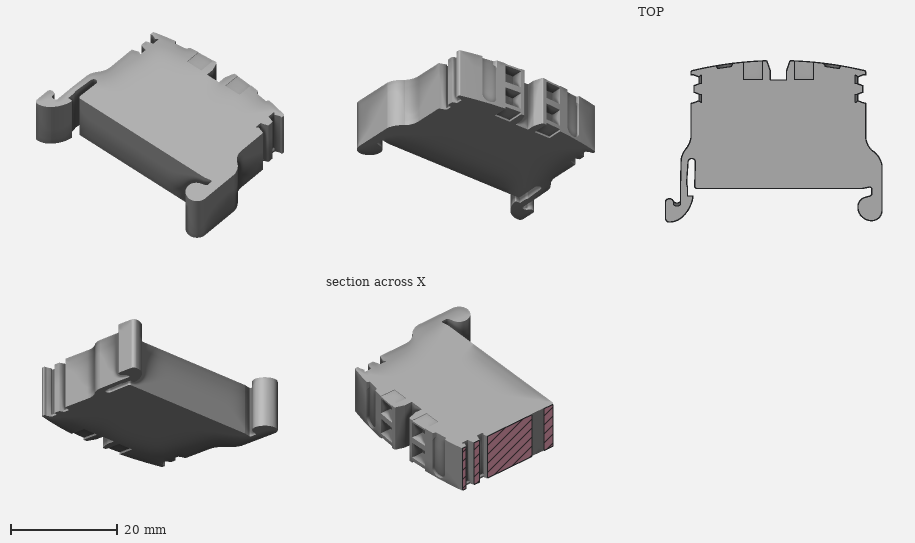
import cadquery as cq
import math


thickness = 9.95
skin = 0.4

half_width = 16.44
crown_top = 24.11
crown_radius = 70.0
corner_y = 21.75
corner_inset = 0.25
corner_bulge = (0.06, 0.32)

notch_mouth_half = 2.17
notch_half = 1.49
notch_floor_y = 20.45
notch_taper_y = 22.1
notch_rim_radius = 0.3

lip_bottom_y = 21.38
shoulder_y = 16.04
tooth_half_width = 15.9
groove_floor_x = 14.97
undercut_x = 14.41
groove_spans = ((19.71, 21.0), (16.53, 17.77))
flank_rise = 0.35
undercut_hook = 0.37
undercut_slope = 0.1

flank_end_right_y = 9.9
foot_right_x = 19.51
foot_shoulder_y = 4.35
foot_shoulder_bow = (18.85, 6.0)
flank_turn_right = (17.55, 7.24)
bulb_right_y = -4.2
bulb_lower_bow = (18.6, -5.74)
bulb_bottom = (16.94, -5.97)
bulb_left_bow = (15.45, -5.0)
bulb_left = (14.93, -3.55)
bulb_upper_bow = (15.35, -2.25)
bulb_top = (16.4, -1.6)
neck_x = 17.53
neck_low_y = -1.0
neck_high_y = -0.05
neck_low_start = (17.3, -1.35)
neck_low_bow = (17.47, -1.2)
neck_high_bow = (17.42, 0.19)
neck_high_end = (17.15, 0.27)
relief_start_x = 15.7

flank_end_left_y = 10.0
flank_left_bow = (-16.7, 8.65)
flank_turn_left = (-17.4, 7.48)
arm_top_bow = (-18.02, 6.5)
arm_top = (-18.31, 5.23)
arm_outer_x = 18.42
arm_straight_y = 0.95
underside_left_x = -15.2
slit_corner_bow = (-15.62, 0.14)
slit_corner = (-15.76, 0.5)
slit_top_y = 5.0
slit_top_right_x = -15.63
slit_top_bow = (-16.28, 5.65)
slit_top_left_x = -16.97
arm_inner_x = -17.08
arm_step_outer = (-17.24, 0.9)
arm_step_inner_y = 0.3
catch_y = -1.34
catch_end_x = -16.3
catch_bow = (-16.1, -1.42)
catch_tip = (-16.04, -1.6)
hook_ramp_bow = (-17.04, -4.15)
hook_ramp_end = (-17.98, -5.27)
hook_heel_bow = (-19.15, -6.03)
hook_bottom = (-20.5, -6.3)
hook_corner_bow = (-21.03, -6.08)
hook_left_x = 21.25
hook_left_y = -5.52
hook_tip_bow = (-20.5, -1.87)
hook_groove_y = -2.4
hook_groove_left_x = 19.73
hook_groove_mid_x = (arm_outer_x + hook_groove_left_x) / 2
hook_groove_drop = 0.29
hook_pocket_depth = 0.6

panel_inner_x = 3.02
panel_outer_x = 6.57
panel_floor_y = 20.55
panel_depth = 0.12
window_spans = ((1.2, 4.66), (5.9, 9.45))
window_depth = 2.6

marker_x = 10.08
marker_width = 3.2
marker_depth = 0.6
marker_bottom_z = skin
marker_top_z = 9.45
marker_end_radius = 1.5
marker_inner_slope = 0.5
marker_outer_slope = 0.2

overcut = 2.0


def crown_y(x):
    """Height of the arched top edge at x."""
    return crown_top - crown_radius + math.sqrt(crown_radius**2 - x**2)


def mirrored(points, side):
    """Place points given for the +X side on the chosen side."""
    return [(side * x, y) for x, y in points]


def side_teeth():
    """Outline points from the lip down to the shoulder on the +X side."""
    (upper_low, upper_high), (lower_low, lower_high) = groove_spans
    return [
        (half_width, lip_bottom_y),
        (tooth_half_width, lip_bottom_y),
        (groove_floor_x, upper_high),
        (groove_floor_x, upper_low),
        (tooth_half_width, upper_low - flank_rise),
        (tooth_half_width, lower_high + flank_rise),
        (groove_floor_x, lower_high),
        (groove_floor_x, lower_low),
        (tooth_half_width, lower_low - flank_rise),
        (half_width, shoulder_y),
    ]


def add_right_foot(outline):
    """Continue the outline from the right flank around the rigid foot to the underside."""
    return (
        outline
        .lineTo(half_width, flank_end_right_y)
        .tangentArcPoint(flank_turn_right, relative=False)
        .threePointArc(foot_shoulder_bow, (foot_right_x, foot_shoulder_y))
        .lineTo(foot_right_x, bulb_right_y)
        .threePointArc(bulb_lower_bow, bulb_bottom)
        .threePointArc(bulb_left_bow, bulb_left)
        .threePointArc(bulb_upper_bow, bulb_top)
        .lineTo(*neck_low_start)
        .threePointArc(neck_low_bow, (neck_x, neck_low_y))
        .lineTo(neck_x, neck_high_y)
        .threePointArc(neck_high_bow, neck_high_end)
        .lineTo(relief_start_x, 0)
    )


def add_left_foot(outline):
    """Continue the outline from the underside around the flexible foot to the left flank."""
    groove_left = (-hook_groove_left_x, hook_groove_y)
    groove_bottom = (-hook_groove_mid_x, hook_groove_y - hook_groove_drop)
    return (
        outline
        .lineTo(underside_left_x, 0)
        .threePointArc(slit_corner_bow, slit_corner)
        .lineTo(slit_top_right_x, slit_top_y)
        .threePointArc(slit_top_bow, (slit_top_left_x, slit_top_y))
        .lineTo(*arm_step_outer)
        .lineTo(arm_inner_x, arm_step_inner_y)
        .lineTo(arm_inner_x, catch_y)
        .lineTo(catch_end_x, catch_y)
        .threePointArc(catch_bow, catch_tip)
        .threePointArc(hook_ramp_bow, hook_ramp_end)
        .threePointArc(hook_heel_bow, hook_bottom)
        .threePointArc(hook_corner_bow, (-hook_left_x, hook_left_y))
        .lineTo(-hook_left_x, hook_groove_y)
        .threePointArc(hook_tip_bow, groove_left)
        .threePointArc(groove_bottom, (-arm_outer_x, hook_groove_y))
        .lineTo(-arm_outer_x, arm_straight_y)
        .lineTo(*arm_top)
        .threePointArc(arm_top_bow, flank_turn_left)
        .threePointArc(flank_left_bow, (-half_width, flank_end_left_y))
    )


def housing():
    """Full outline, drawn from the notch clockwise, extruded to the full thickness."""
    mouth_y = crown_y(notch_mouth_half)
    corner_x = half_width - corner_inset
    middle_x = (notch_mouth_half + corner_x) / 2
    bulge_in, bulge_up = corner_bulge
    bulge_x = half_width - bulge_in
    bulge_y = corner_y + bulge_up
    teeth = side_teeth()
    outline = (
        cq.Workplane("XY")
        .moveTo(notch_half, notch_floor_y)
        .lineTo(notch_half, notch_taper_y)
        .lineTo(notch_mouth_half, mouth_y)
        .threePointArc((middle_x, crown_y(middle_x)), (corner_x, crown_y(corner_x)))
        .threePointArc((bulge_x, bulge_y), (half_width, corner_y))
    )
    for point in teeth:
        outline = outline.lineTo(*point)
    outline = add_left_foot(add_right_foot(outline))
    for point in reversed(mirrored(teeth, -1)):
        outline = outline.lineTo(*point)
    outline = (
        outline
        .lineTo(-half_width, corner_y)
        .threePointArc((-bulge_x, bulge_y), (-corner_x, crown_y(corner_x)))
        .threePointArc((-middle_x, crown_y(middle_x)), (-notch_mouth_half, mouth_y))
        .lineTo(-notch_half, notch_taper_y)
        .lineTo(-notch_half, notch_floor_y)
        .close()
    )
    body = outline.extrude(thickness)
    for side in (-1, 1):
        rim = cq.selectors.NearestToPointSelector((side * notch_mouth_half, mouth_y, thickness / 2))
        body = body.edges("|Z").edges(rim).fillet(notch_rim_radius)
    return body


def above_skin(points):
    """Prism over a closed polygon, from the skin up through the top face."""
    return cq.Workplane("XY").workplane(offset=skin).polyline(points).close().extrude(thickness)


def groove_undercuts(side):
    """Deeper grooves behind the two side grooves; both widen away from the tooth."""
    (upper_low, upper_high), (lower_low, lower_high) = groove_spans
    cutters = cq.Workplane("XY")
    for tooth_y, far_y, away in ((upper_low, upper_high, 1), (lower_high, lower_low, -1)):
        profile = [
            (groove_floor_x, tooth_y),
            (groove_floor_x, far_y),
            (undercut_x + undercut_slope, far_y + away * undercut_hook),
            (undercut_x, far_y + away * (undercut_hook - undercut_slope)),
            (undercut_x, tooth_y + away * undercut_slope),
        ]
        cutters = cutters.add(above_skin(mirrored(profile, side)))
    return cutters.combine()


def box_between(low, high):
    """Axis-aligned box between two opposite corners."""
    size = [b - a for a, b in zip(low, high)]
    return cq.Workplane("XY").box(*size, centered=False).translate(low)


def panel(side):
    """Square recesses on the top and bottom faces and the two windows between them."""
    left = min(side * panel_inner_x, side * panel_outer_x)
    right = max(side * panel_inner_x, side * panel_outer_x)
    past_crown = crown_top + overcut
    spans = [(panel_floor_y, 0, skin), (panel_floor_y, thickness - panel_depth, thickness)]
    spans += [(crown_top - window_depth, low, high) for low, high in window_spans]
    cutters = cq.Workplane("XY")
    for floor_y, low_z, high_z in spans:
        cutters = cutters.add(box_between((left, floor_y, low_z), (right, past_crown, high_z)))
    return cutters.combine()


def marker_pocket(side):
    """Shallow round-ended pocket in the arched edge with an opening in the top layer."""
    length = marker_top_z - marker_bottom_z
    half = marker_width / 2
    pocket = (
        cq.Workplane("XY")
        .box(marker_width, marker_depth + overcut, length, centered=(True, False, False))
        .edges("|Y")
        .fillet(marker_end_radius)
        .translate((0, -marker_depth, marker_bottom_z))
    )
    opening = (
        cq.Workplane("XY")
        .workplane(offset=marker_top_z - marker_end_radius)
        .polyline([
            (-side * half, 0),
            (side * (marker_inner_slope - half), -marker_depth),
            (side * (half - marker_outer_slope), -marker_depth),
            (side * half, 0),
            (side * half, overcut),
            (-side * half, overcut),
        ])
        .close()
        .extrude(thickness)
    )
    tilt = -side * math.degrees(math.asin(marker_x / crown_radius))
    return (
        pocket.union(opening)
        .rotate((0, 0, 0), (0, 0, 1), tilt)
        .translate((side * marker_x, crown_y(marker_x), 0))
    )


def hook_pocket():
    """Deepening of the round groove between the hook and the arm, with the same arched floor."""
    floor_y = hook_groove_y - hook_pocket_depth
    return (
        cq.Workplane("XY")
        .workplane(offset=skin)
        .moveTo(-arm_outer_x, hook_groove_y)
        .lineTo(-hook_groove_left_x, hook_groove_y)
        .lineTo(-hook_groove_left_x, floor_y)
        .threePointArc((-hook_groove_mid_x, floor_y - hook_groove_drop), (-arm_outer_x, floor_y))
        .close()
        .extrude(thickness)
    )


result = housing().cut(hook_pocket())
for side in (-1, 1):
    result = result.cut(groove_undercuts(side)).cut(panel(side)).cut(marker_pocket(side))